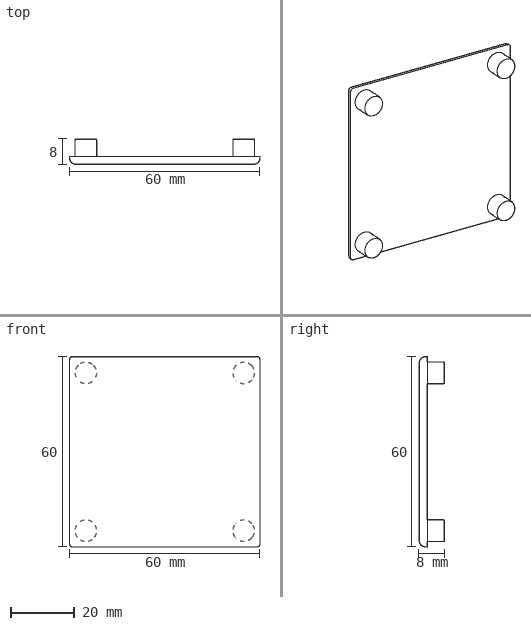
import cadquery as cq
import math

side = 60.0
total_depth = 8.0

rim_radius = 2.1
rim_land = 0.5
plate_thickness = rim_land + rim_radius
corner_radius = 1.0

peg_diameter = 6.9
peg_spacing = 49.7
peg_chamfer = 0.5
peg_chamfer_width = 0.1


def crowned_bar():
    """Bar along Z whose two front edges are rounded, back face on Y = 0."""
    half = side / 2
    flat = half - rim_radius
    mid_offset = rim_radius * (1 - math.sqrt(0.5))
    mid_x = half - mid_offset
    mid_y = -plate_thickness + mid_offset
    return (
        cq.Workplane("XY", origin=(0, 0, -half))
        .moveTo(-half, 0)
        .lineTo(half, 0)
        .lineTo(half, -rim_land)
        .threePointArc((mid_x, mid_y), (flat, -plate_thickness))
        .lineTo(-flat, -plate_thickness)
        .threePointArc((-mid_x, mid_y), (-half, -rim_land))
        .close()
        .extrude(side)
    )


def plate():
    """Square plate rounded on all four front edges and at its corners."""
    upright = crowned_bar()
    level = upright.rotate((0, 0, 0), (0, 1, 0), 90)
    square = upright.intersect(level)
    return square.edges("|Y").fillet(corner_radius)


def peg():
    """Peg with a slim chamfer at its free end, standing on the plate back."""
    length = total_depth - plate_thickness
    radius = peg_diameter / 2
    return (
        cq.Workplane("XY")
        .lineTo(radius, 0)
        .lineTo(radius, length - peg_chamfer)
        .lineTo(radius - peg_chamfer_width, length)
        .lineTo(0, length)
        .close()
        .revolve(360, (0, 0, 0), (0, 1, 0))
    )


result = plate()
for x_sign in (-1, 1):
    for z_sign in (-1, 1):
        offset = (x_sign * peg_spacing / 2, 0, z_sign * peg_spacing / 2)
        result = result.union(peg().translate(offset))